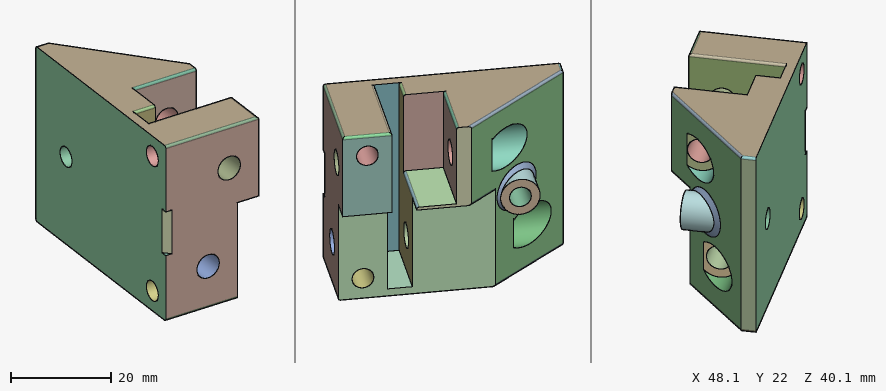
import cadquery as cq

length = 48.1
depth = 22.0
height = 40.1
mid_z = height / 2
edge_radius = 0.5
overshoot = 1.0

slope_start_y = 3.0
slope_end_x = 22.0
slope_rise = (depth - slope_start_y) / slope_end_x

ledge_z = 22.0
lower_depth = 17.0

screw_diameter = 5.3
counterbore_diameter = 9.0
screw_spacing = 21.0
upper_screw = {"y": 15.0, "z": mid_z + screw_spacing / 2, "seat_x": 17.05}
lower_screw = {"y": 10.0, "z": mid_z - screw_spacing / 2, "seat_x": 11.9}

pocket_start_x = 25.05
slot_start_x = 33.1
slot_end_x = 38.1
floor_clearance = 7.9

mount_diameter = 4.4
mount_spacing_z = 30.9
mount_x = 43.1
boss_x = 11.2
boss_diameter = 8.0
boss_chamfer = 0.9

notch_size = 1.5
notch_length = 10.0


def box_between(x0, x1, y0, y1, z0, z1):
    return cq.Workplane("XY").box(x1 - x0, y1 - y0, z1 - z0, centered=False).translate((x0, y0, z0))


def prism(points, z0, z1):
    return cq.Workplane("XY").workplane(offset=z0).polyline(points).close().extrude(z1 - z0)


def rod_x(diameter, y, z, x0, x1):
    return cq.Workplane("YZ").workplane(offset=x0).center(y, z).circle(diameter / 2).extrude(x1 - x0)


def rod_y(diameter, x, z, y0, y1):
    return cq.Workplane("XZ").workplane(offset=-y0).center(x, z).circle(diameter / 2).extrude(y0 - y1)


def make_body():
    outline = [
        (0, 0),
        (length, 0),
        (length, depth),
        (slope_end_x, depth),
        (0, slope_start_y),
    ]
    body = prism(outline, 0, height)
    ledge = box_between(-overshoot, length + overshoot, lower_depth, depth + overshoot, -overshoot, ledge_z)
    return body.cut(ledge)


def cut_pocket(body):
    top = height + overshoot
    back = depth + overshoot
    upper_pocket = box_between(
        pocket_start_x,
        slot_end_x,
        upper_screw["y"] - floor_clearance,
        back,
        upper_screw["z"] - floor_clearance,
        top,
    )
    deep_slot = box_between(
        slot_start_x,
        slot_end_x,
        lower_screw["y"] - floor_clearance,
        back,
        lower_screw["z"] - floor_clearance,
        top,
    )
    return body.cut(upper_pocket).cut(deep_slot)


def slope_y(x):
    return slope_start_y + slope_rise * x


def round_edges(body):
    upper_floor_y = upper_screw["y"] - floor_clearance
    upper_floor_z = upper_screw["z"] - floor_clearance
    slot_floor_y = lower_screw["y"] - floor_clearance
    slope_middle_x = slope_end_x / 2
    lower_slope_x = (lower_depth - slope_start_y) / slope_rise
    ledge_slope_x = (lower_slope_x + slope_end_x) / 2

    edge_middles = [
        (0, slope_start_y / 2, height),
        (slope_middle_x, slope_y(slope_middle_x), height),
        (length, depth / 2, height),
        ((slot_end_x + length) / 2, depth, height),
        (0, slope_start_y / 2, 0),
        (lower_slope_x / 2, slope_y(lower_slope_x / 2), 0),
        (length, lower_depth / 2, 0),
        (ledge_slope_x, slope_y(ledge_slope_x), ledge_z),
        (pocket_start_x, (upper_floor_y + depth) / 2, height),
        (slot_start_x, (slot_floor_y + upper_floor_y) / 2, height),
        (slot_start_x, (upper_floor_y + depth) / 2, upper_floor_z),
        (slot_end_x, (slot_floor_y + depth) / 2, height),
    ]
    rounded = []
    for point in edge_middles:
        rounded.extend(body.edges(cq.selectors.NearestToPointSelector(point)).vals())
    return body.newObject(rounded).fillet(edge_radius)


def make_boss():
    slab_end_x = slope_end_x + boss_diameter
    slab = prism(
        [
            (0, 0),
            (slab_end_x, 0),
            (slab_end_x, slope_y(slab_end_x)),
            (0, slope_start_y),
        ],
        0,
        height,
    )
    root_y = slope_start_y / 2
    boss = slab.union(rod_y(boss_diameter, boss_x, mid_z, root_y, 2 * depth))

    x0 = boss_x - boss_diameter
    x1 = boss_x + boss_diameter
    z0 = mid_z - boss_diameter
    z1 = mid_z + boss_diameter
    junction = cq.selectors.BoxSelector((x0, slope_start_y, z0), (x1, depth, z1))
    boss = boss.edges(junction).chamfer(boss_chamfer)
    return boss.intersect(box_between(x0, x1, root_y, lower_depth, z0, z1))


def cut_screw(body, screw):
    hole = rod_x(screw_diameter, screw["y"], screw["z"], -overshoot, length + overshoot)
    counterbore = rod_x(counterbore_diameter, screw["y"], screw["z"], -overshoot, screw["seat_x"])
    return body.cut(hole).cut(counterbore)


def cut_mount_holes(body):
    centers = [
        (boss_x, mid_z),
        (mount_x, mid_z - mount_spacing_z / 2),
        (mount_x, mid_z + mount_spacing_z / 2),
    ]
    for x, z in centers:
        body = body.cut(rod_y(mount_diameter, x, z, -overshoot, depth + overshoot))
    return body


def cut_notch(body):
    corner = [(length - notch_size, 0), (length, 0), (length, notch_size)]
    return body.cut(prism(corner, mid_z - notch_length / 2, mid_z + notch_length / 2))


result = make_body()
result = cut_pocket(result)
result = round_edges(result)
result = result.union(make_boss())
for screw in (upper_screw, lower_screw):
    result = cut_screw(result, screw)
result = cut_mount_holes(result)
result = cut_notch(result)